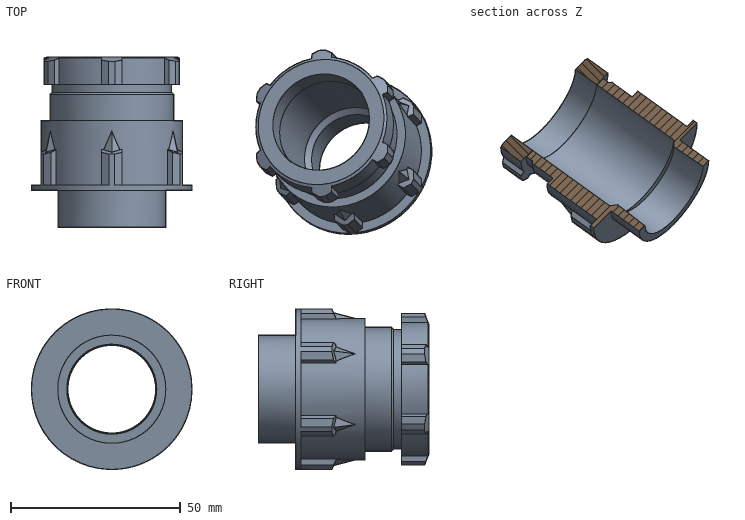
import cadquery as cq
import math


TOTAL_LENGTH = 50.45

SPIGOT_RADIUS = 16.0
FLANGE_RADIUS = 23.75
BARREL_RADIUS = 20.95
COLLAR_RADIUS = 18.35
NECK_RADIUS = 17.7
SPIGOT_END = 11.0
FLANGE_END = 12.5
BARREL_END = 31.55
COLLAR_END = 39.95
COLLAR_CHAMFER = COLLAR_RADIUS - NECK_RADIUS
NECK_END = 42.25

MOUTH_RADIUS = 13.3
THROAT_RADIUS = 12.95
WIDE_BORE_RADIUS = 14.75
THROAT_START = 9.5
THROAT_END = SPIGOT_END
FLARE_LENGTH = 1.5

LUG_COUNT = 6
LUG_HALF_WIDTH = 3.05
LUG_ROOT_HEIGHT = 17.65
UNTRIMMED_RADIUS = FLANGE_RADIUS + 0.5
ENVELOPE_RADIUS = UNTRIMMED_RADIUS + 0.5

HOUSING_LUG_SHOULDER = 22.45
HOUSING_LUG_TIP_HALF_WIDTH = 0.8
HOUSING_LUG_ROOT_END = 23.0
HOUSING_LUG_TIP_END = 21.7

SPIKE_TIP_Y = 28.6
SPIKE_BASE_Y = 22.25
SPIKE_HALF_WIDTH = 2.7
SPIKE_RIDGE_HEIGHT = 22.6
SPIKE_FOOT_HEIGHT = 20.8

NUT_RADIUS = 20.0
NUT_FACE_RADIUS = 19.15
NUT_LUG_RADIUS = 22.45
NUT_LUG_SHOULDER = 21.35
NUT_LUG_TIP_HALF_WIDTH = 1.0
CHAMFER_SLOPE = 0.4


def turned(points):
    """Revolve a closed (radius, y) outline about the Y axis, with its seam midway between two lugs."""
    return cq.Workplane("XY").polyline(points).close().revolve(360, (0, 0), (0, 1))


def lug_bar(tip_radius, tip_half_width, shoulder, start, end):
    """Bar on the +Z side with upright flanks, sloped shoulders and a tip left tall for trimming."""
    tip_corner = math.sqrt(tip_radius**2 - tip_half_width**2)
    return (
        cq.Workplane("XZ", origin=(0, start, 0))
        .polyline([
            (-LUG_HALF_WIDTH, LUG_ROOT_HEIGHT),
            (-LUG_HALF_WIDTH, shoulder),
            (-tip_half_width, tip_corner),
            (-tip_half_width, UNTRIMMED_RADIUS),
            (tip_half_width, UNTRIMMED_RADIUS),
            (tip_half_width, tip_corner),
            (LUG_HALF_WIDTH, shoulder),
            (LUG_HALF_WIDTH, LUG_ROOT_HEIGHT),
        ])
        .close()
        .extrude(start - end)
    )


def cylinder(radius, start, end):
    """Solid cylinder on the Y axis."""
    return turned([(0, start), (radius, start), (radius, end), (0, end)])


def sloped_envelope(start, face_radius, face_y, slope):
    """Disc wider than any lug, with a cone falling away outside its flat end face."""
    rim_y = face_y - slope * (ENVELOPE_RADIUS - face_radius)
    return turned([
        (0, start),
        (ENVELOPE_RADIUS, start),
        (ENVELOPE_RADIUS, rim_y),
        (face_radius, face_y),
        (0, face_y),
    ])


def spike():
    """Spike whose tip lies on the barrel and whose base is buried in the lug."""
    tip = cq.Vector(0, SPIKE_TIP_Y, BARREL_RADIUS)
    ridge = cq.Vector(0, SPIKE_BASE_Y, SPIKE_RIDGE_HEIGHT)
    left = cq.Vector(-SPIKE_HALF_WIDTH, SPIKE_BASE_Y, SPIKE_FOOT_HEIGHT)
    right = cq.Vector(SPIKE_HALF_WIDTH, SPIKE_BASE_Y, SPIKE_FOOT_HEIGHT)
    corners = [(tip, left, ridge), (tip, ridge, right), (tip, right, left), (left, right, ridge)]
    faces = [cq.Face.makeFromWires(cq.Wire.makePolygon(trio, close=True)) for trio in corners]
    return cq.Workplane(cq.Solid.makeSolid(cq.Shell.makeShell(faces)))


def with_lugs(body, lug):
    """Add evenly spaced copies of a lug around the Y axis."""
    for index in range(LUG_COUNT):
        angle = index * 360 / LUG_COUNT
        body = body.union(lug.rotate((0, 0, 0), (0, 1, 0), angle))
    return body


def housing_bore():
    flare_end = THROAT_END + FLARE_LENGTH
    return turned([
        (0, 0),
        (MOUTH_RADIUS, 0),
        (THROAT_RADIUS, THROAT_START),
        (THROAT_RADIUS, THROAT_END),
        (WIDE_BORE_RADIUS, flare_end),
        (WIDE_BORE_RADIUS, NECK_END),
        (0, NECK_END),
    ])


def housing_lug():
    start = (SPIGOT_END + FLANGE_END) / 2
    bar = lug_bar(
        FLANGE_RADIUS, HOUSING_LUG_TIP_HALF_WIDTH, HOUSING_LUG_SHOULDER, start, HOUSING_LUG_ROOT_END
    )
    slope = (HOUSING_LUG_ROOT_END - HOUSING_LUG_TIP_END) / (FLANGE_RADIUS - BARREL_RADIUS)
    envelope = sloped_envelope(start, BARREL_RADIUS, HOUSING_LUG_ROOT_END, slope)
    return bar.intersect(envelope).union(spike())


def make_housing():
    body = turned([
        (0, 0),
        (SPIGOT_RADIUS, 0),
        (SPIGOT_RADIUS, SPIGOT_END),
        (UNTRIMMED_RADIUS, SPIGOT_END),
        (UNTRIMMED_RADIUS, FLANGE_END),
        (BARREL_RADIUS, FLANGE_END),
        (BARREL_RADIUS, BARREL_END),
        (COLLAR_RADIUS, BARREL_END),
        (COLLAR_RADIUS, COLLAR_END - COLLAR_CHAMFER),
        (NECK_RADIUS, COLLAR_END),
        (NECK_RADIUS, NECK_END),
        (0, NECK_END),
    ])
    trim = cylinder(FLANGE_RADIUS, 0, NECK_END)
    return with_lugs(body, housing_lug()).intersect(trim).cut(housing_bore())


def make_nut():
    disc = cylinder(NUT_RADIUS, NECK_END, TOTAL_LENGTH)
    lug = lug_bar(NUT_LUG_RADIUS, NUT_LUG_TIP_HALF_WIDTH, NUT_LUG_SHOULDER, NECK_END, TOTAL_LENGTH)
    trim = cylinder(NUT_LUG_RADIUS, NECK_END, TOTAL_LENGTH)
    chamfer = sloped_envelope(NECK_END, NUT_FACE_RADIUS, TOTAL_LENGTH, CHAMFER_SLOPE)
    bore = cylinder(WIDE_BORE_RADIUS, NECK_END, TOTAL_LENGTH)
    return with_lugs(disc, lug).intersect(trim).intersect(chamfer).cut(bore)


housing = make_housing().solids()
nut = make_nut().solids()

result = cq.Compound.makeCompound([housing.val(), nut.val()])